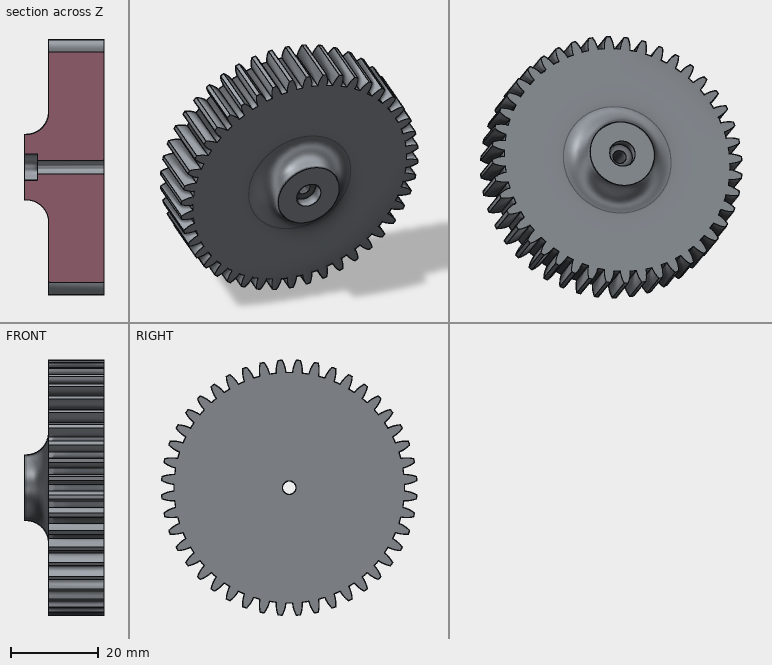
import cadquery as cq
import math


tooth_count = 44
outer_span = 58.35
root_radius = 26.35
flank_mid_radius = 27.95
tip_half_angle = 0.9
flank_mid_half_angle = 1.9
root_half_angle = 2.5

pitch_angle = 360 / tooth_count
tip_radius = outer_span / 2 / math.cos(math.radians(pitch_angle / 2 - tip_half_angle))

overall_length = 18.2
face_width = 12.7
hub_height = overall_length - face_width
hub_radius = 7.5
hub_rim = 0.4
hub_fillet = hub_height - hub_rim

bore_radius = 1.5
counterbore_radius = 3.0
counterbore_depth = 3.0


def polar(radius, angle):
    """Point in the gear plane at an angle in degrees."""
    return radius * math.cos(math.radians(angle)), radius * math.sin(math.radians(angle))


def make_gear():
    """Extrude the toothed outline, with curved flanks and round tips and roots."""
    first_foot = polar(root_radius, pitch_angle / 2 - root_half_angle)
    outline = cq.Workplane("YZ", origin=(hub_height, 0, 0)).moveTo(*first_foot)
    for tooth in range(tooth_count):
        center = (tooth + 0.5) * pitch_angle
        gap_center = center + pitch_angle / 2
        next_foot = center + pitch_angle - root_half_angle
        outline = (
            outline
            .threePointArc(
                polar(flank_mid_radius, center - flank_mid_half_angle),
                polar(tip_radius, center - tip_half_angle),
            )
            .threePointArc(polar(tip_radius, center), polar(tip_radius, center + tip_half_angle))
            .threePointArc(
                polar(flank_mid_radius, center + flank_mid_half_angle),
                polar(root_radius, center + root_half_angle),
            )
            .threePointArc(polar(root_radius, gap_center), polar(root_radius, next_foot))
        )
    return outline.close().extrude(face_width)


def make_hub():
    """Revolve the hub, which flares out in a concave fillet to the gear face and runs on through the gear."""
    arc_middle = hub_fillet * math.sqrt(0.5)
    fillet_center_radius = hub_radius + hub_fillet
    return (
        cq.Workplane("XY")
        .lineTo(0, hub_radius)
        .lineTo(hub_rim, hub_radius)
        .threePointArc(
            (hub_rim + arc_middle, fillet_center_radius - arc_middle),
            (hub_height, fillet_center_radius),
        )
        .lineTo(overall_length, fillet_center_radius)
        .lineTo(overall_length, 0)
        .close()
        .revolve(360, (0, 0, 0), (1, 0, 0))
    )


def make_bore():
    """Through hole with a counterbore sunk into the hub face."""
    hole = cq.Workplane("YZ").circle(bore_radius).extrude(overall_length)
    counterbore = cq.Workplane("YZ").circle(counterbore_radius).extrude(counterbore_depth)
    return hole.union(counterbore)


result = make_gear().union(make_hub()).cut(make_bore())